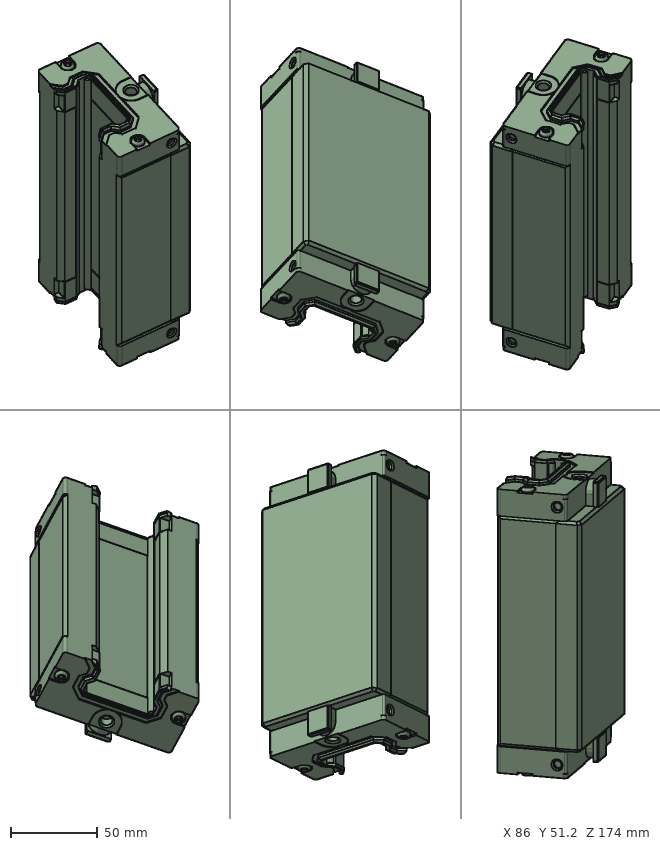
import cadquery as cq


TOTAL_LENGTH = 174
BLOCK_WIDTH = 86.0
BLOCK_HEIGHT = 51.2

BLOCK_LENGTH = 138.5
BLOCK_CHAMFER = 2.3
BLOCK_END_CHAMFER = 1.7
DATUM_STEP = 0.2
DATUM_Y = 36.0

CAP_HEIGHT = 42.6
LIP_HEIGHT = 1.7
CAP_PLATE = 2.8
PLATE_ROUND = 2.1
CAP_ROUND = 1.4
MOUTH_ROUND = 2.0
BLOCK_END = BLOCK_LENGTH / 2
LIP_TOP = TOTAL_LENGTH / 2
CAP_END = LIP_TOP - LIP_HEIGHT
PLATE_START = CAP_END - CAP_PLATE

MOUTH_OVERSHOOT = 5.2
SEAL_RECESS = 1.0
RIDGE_BEVEL = 1.2
BLOCK_CHANNEL_TOP = 22.1
BLOCK_MOUTH_X = 19.1
CAP_CHANNEL_TOP = 22.0
CAP_MOUTH_X = 18.8
LIP_MOUTH_X = 18.6
MOUTH_FLARE_Y = 3.5
RACE_X = 22.0
UPPER_SHOULDER = [(19.5, 21.4), (20.2, 19.7), (RACE_X, 18.8)]
LOWER_SHOULDER = [(RACE_X, 15.1), (20.2, 14.0), (19.5, 11.8)]
SHOULDER_END_Y = 11.1
LIP_OUTLINE = [
    (19.8, 22.5),
    (RACE_X, 20.4),
    (RACE_X, 14.5),
    (LIP_MOUTH_X, SHOULDER_END_Y),
    (LIP_MOUTH_X, MOUTH_FLARE_Y),
]
RIDGE_OUTLINE = [(20.5, 24.7), (25.0, 20.2), (25.0, 12.9), (21.2, 9.0), (21.2, 4.0)]
RECESS_OUTLINE = [(21.2, 28.2), (27.8, 21.5), (27.8, 12.5), (24.4, 9.0), (24.4, 5.4)]

POCKET_INNER_X = 17.4
POCKET_OUTER_X = 25.0
POCKET_DEPTH = 3.1

PORT_Y = 36.7
PORT_PAD_RADIUS = 8.9
PORT_PAD_DEPTH = 0.5
END_PORT_DIAMETER = 9.0
END_PORT_BORE = 6.8
END_PORT_DEPTH = 7.0
SIDE_PORT_DIAMETER = 6.8
SIDE_PORT_BORE = 4.9
SIDE_PORT_DEPTH = 2.6
SIDE_PORT_Z = 77.5

NECK_DIAMETER = 14.0
NECK_Z = 76.5
LUG_WIDTH = 15.7
LUG_BOTTOM = 47.5
LUG_TOP = 50.6
LUG_END = 84.2
LUG_CHAMFER = 0.7

SCREW_X = 37.0
SCREW_Y = 17.2
SCREW_SLOT_WIDTH = 9.0
SCREW_SLOT_DEPTH = 1.2
SCREW_HEAD_DIAMETER = 8.0
SCREW_HEAD_HEIGHT = 2.5
SCREW_RIM_HEIGHT = 0.9
SCREW_DOME_POINT = (3.5, 2.0)
SOCKET_DIAMETER = 4.5
SOCKET_BORE = 3.0
SOCKET_DEPTH = 1.7


def box(x0, x1, y0, y1, z0, z1):
    return cq.Workplane().box(x1 - x0, y1 - y0, z1 - z0, centered=False).translate((x0, y0, z0))


def channel(half_outline, z):
    """Closed channel wire at height z, with the mouth flaring at 45 degrees past Y = 0."""
    last_x, last_y = half_outline[-1]
    flare_end = (last_x + last_y + MOUTH_OVERSHOOT, -MOUTH_OVERSHOOT)
    right = half_outline + [flare_end]
    left = [(-x, y) for x, y in reversed(right)]
    return cq.Workplane().workplane(offset=z).polyline(right + left).close()


def race_channel(top, mouth_x, z):
    """Closed channel wire at height z with rounded race shoulders on both sides."""
    flare_end = (mouth_x + MOUTH_FLARE_Y + MOUTH_OVERSHOOT, -MOUTH_OVERSHOOT)
    shoulder_x = UPPER_SHOULDER[0][0]
    right = (
        cq.Workplane()
        .workplane(offset=z)
        .moveTo(0, top)
        .lineTo(shoulder_x, top)
        .lineTo(*UPPER_SHOULDER[0])
        .threePointArc(*UPPER_SHOULDER[1:])
        .lineTo(*LOWER_SHOULDER[0])
        .threePointArc(*LOWER_SHOULDER[1:])
        .lineTo(mouth_x, SHOULDER_END_Y)
        .lineTo(mouth_x, MOUTH_FLARE_Y)
        .lineTo(*flare_end)
        .lineTo(0, -MOUTH_OVERSHOOT)
    )
    return right.mirrorY()


def countersunk_hole(plane, mouth_diameter, bore, depth):
    """Blind hole along the plane normal with a 45 degree mouth."""
    mouth_depth = (mouth_diameter - bore) / 2
    cone = (
        cq.Workplane(plane)
        .circle(mouth_diameter / 2)
        .workplane(offset=mouth_depth)
        .circle(bore / 2)
        .loft()
    )
    return cone.union(cq.Workplane(plane).circle(bore / 2).extrude(depth))


def make_block():
    half = BLOCK_WIDTH / 2
    flank = half - DATUM_STEP
    right = [
        (half - BLOCK_CHAMFER, BLOCK_HEIGHT),
        (half, BLOCK_HEIGHT - BLOCK_CHAMFER),
        (half, DATUM_Y),
        (flank, DATUM_Y),
        (flank, 0),
    ]
    left = [(-x, y) for x, y in reversed(right)]
    block = cq.Workplane().polyline(right + left).close().extrude(BLOCK_LENGTH / 2, both=True)
    block = block.faces("|Z").edges("not(<Y)").chamfer(BLOCK_END_CHAMFER)
    block = block.edges("|Z and <Y").chamfer(BLOCK_CHAMFER)
    opening = race_channel(BLOCK_CHANNEL_TOP, BLOCK_MOUTH_X, -BLOCK_END).extrude(BLOCK_LENGTH)
    return block.cut(opening)


def cap_slice(z0, z1, back_round):
    half = BLOCK_WIDTH / 2
    part = box(-half, half, 0, CAP_HEIGHT, z0, z1)
    part = part.edges("|Z and >Y").fillet(back_round)
    return part.edges("|Z and <Y").fillet(MOUTH_ROUND)


def make_lug():
    neck_radius = NECK_DIAMETER / 2
    neck_height = LUG_BOTTOM - CAP_HEIGHT
    neck = (
        cq.Workplane("XZ", origin=(0, LUG_BOTTOM, NECK_Z))
        .circle(neck_radius)
        .extrude(neck_height)
    )
    neck = neck.union(box(-neck_radius, neck_radius, CAP_HEIGHT, LUG_BOTTOM, BLOCK_END, NECK_Z))
    lug = box(-LUG_WIDTH / 2, LUG_WIDTH / 2, LUG_BOTTOM, LUG_TOP, BLOCK_END, LUG_END)
    lug = lug.edges("|Y and >Z").chamfer(LUG_CHAMFER)
    lug = lug.faces(">Y").edges("not(<Z)").chamfer(LUG_CHAMFER)
    return lug.union(neck)


def make_ridge():
    """Seal ridge around the channel, bevelled on the outside and flat on top."""
    base = CAP_END - SEAL_RECESS
    bevel_start = LIP_TOP - RIDGE_BEVEL
    skirt = channel(RIDGE_OUTLINE, base).extrude(bevel_start - base)
    crest = channel(RIDGE_OUTLINE, bevel_start).extrude(RIDGE_BEVEL, taper=45)
    opening = channel(LIP_OUTLINE, CAP_END).extrude(LIP_HEIGHT)
    half = BLOCK_WIDTH / 2
    rail_side = box(-half, half, 0, CAP_HEIGHT, base, LIP_TOP)
    return skirt.union(crest).cut(opening).intersect(rail_side)


def add_screw(cap, side):
    x = side * SCREW_X
    outer_x = side * BLOCK_WIDTH / 2
    radius = SCREW_SLOT_WIDTH / 2
    floor = CAP_END - SCREW_SLOT_DEPTH
    slot = cq.Workplane(origin=(x, SCREW_Y, floor)).circle(radius).extrude(SCREW_SLOT_DEPTH)
    run_out = box(min(x, outer_x), max(x, outer_x), SCREW_Y - radius, SCREW_Y + radius, floor, CAP_END)
    head_radius = SCREW_HEAD_DIAMETER / 2
    head = (
        cq.Workplane("XZ")
        .lineTo(head_radius, 0)
        .lineTo(head_radius, SCREW_RIM_HEIGHT)
        .threePointArc(SCREW_DOME_POINT, (SOCKET_DIAMETER / 2, SCREW_HEAD_HEIGHT))
        .lineTo(0, SCREW_HEAD_HEIGHT)
        .close()
        .revolve(axisStart=(0, 0, 0), axisEnd=(0, 1, 0))
        .translate((x, SCREW_Y, floor))
    )
    socket_plane = cq.Plane((x, SCREW_Y, floor + SCREW_HEAD_HEIGHT), (1, 0, 0), (0, 0, -1))
    socket = countersunk_hole(socket_plane, SOCKET_DIAMETER, SOCKET_BORE, SOCKET_DEPTH)
    return cap.cut(slot).cut(run_out).union(head.cut(socket))


def cut_ports(cap):
    pad_floor = CAP_END - PORT_PAD_DEPTH
    pad = cq.Workplane(origin=(0, PORT_Y, pad_floor)).circle(PORT_PAD_RADIUS).extrude(PORT_PAD_DEPTH)
    pad_top = box(-PORT_PAD_RADIUS, PORT_PAD_RADIUS, PORT_Y, CAP_HEIGHT, pad_floor, CAP_END)
    cap = cap.cut(pad.union(pad_top))
    end_plane = cq.Plane((0, PORT_Y, pad_floor), (1, 0, 0), (0, 0, -1))
    cap = cap.cut(countersunk_hole(end_plane, END_PORT_DIAMETER, END_PORT_BORE, END_PORT_DEPTH))
    for side in (-1, 1):
        origin = (side * BLOCK_WIDTH / 2, PORT_Y, SIDE_PORT_Z)
        side_plane = cq.Plane(origin, (0, 1, 0), (-side, 0, 0))
        cap = cap.cut(countersunk_hole(side_plane, SIDE_PORT_DIAMETER, SIDE_PORT_BORE, SIDE_PORT_DEPTH))
    return cap


def make_cap():
    cap = cap_slice(BLOCK_END, PLATE_START, CAP_ROUND)
    cap = cap.union(cap_slice(PLATE_START, CAP_END, PLATE_ROUND))
    cap = cut_ports(cap)
    cap = cap.cut(channel(RECESS_OUTLINE, CAP_END - SEAL_RECESS).extrude(SEAL_RECESS))
    opening = race_channel(CAP_CHANNEL_TOP, CAP_MOUTH_X, BLOCK_END)
    cap = cap.union(make_ridge()).cut(opening.extrude(CAP_END - BLOCK_END))
    for side in (-1, 1):
        x0, x1 = sorted((side * POCKET_INNER_X, side * POCKET_OUTER_X))
        cap = cap.cut(box(x0, x1, 0, POCKET_DEPTH, BLOCK_END, PLATE_START))
        cap = add_screw(cap, side)
    return cap.union(make_lug())


upper_cap = make_cap()
lower_cap = upper_cap.mirror("XY")
result = make_block().union(upper_cap).union(lower_cap)